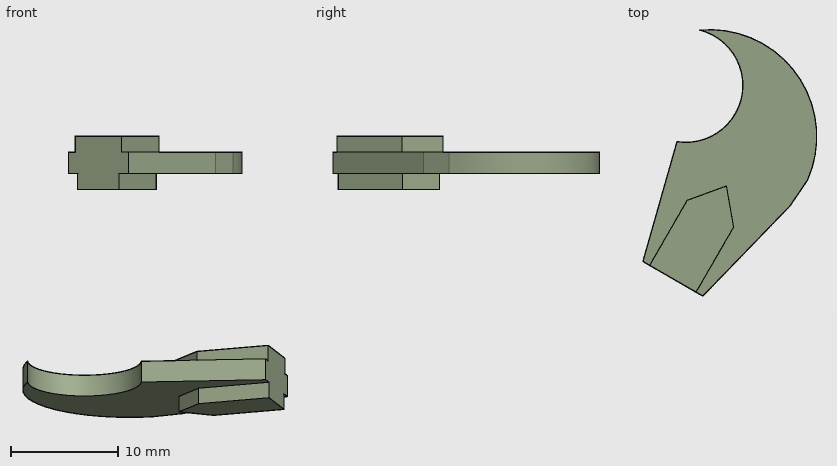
import cadquery as cq
import math

blade_thickness = 2.0
heel_length = 6.45
heel_angle = 30.0
blade_height = 24.83
blade_width = 16.2

back_radius = 9.93
back_center = (blade_width - back_radius, blade_height - back_radius)
tip_x = 5.26
spine_start = (13.73, 8.42)
spine_end = (15.35, 10.8)

bite_right = (9.3, 19.62)
throat = (3.18, 14.4)

rib_height = 1.5
rib_width = 5.0
rib_shoulder = 7.0
rib_length = 9.98
lower_rib_inset = 0.25

slope = math.radians(heel_angle)
heel_left = (0, heel_length * math.sin(slope))
heel_right = (heel_length * math.cos(slope), 0)
heel_middle = (heel_right[0] / 2, heel_left[1] / 2)


def make_blade():
    """Hook-shaped plate centred on Z = 0."""
    arc_angle = math.radians(45)
    back_middle = (
        back_center[0] + back_radius * math.cos(arc_angle),
        back_center[1] + back_radius * math.sin(arc_angle),
    )
    tip_rise = math.sqrt(back_radius**2 - (tip_x - back_center[0]) ** 2)
    tip = (tip_x, back_center[1] + tip_rise)
    return (
        cq.Workplane("XY", origin=(0, 0, -blade_thickness / 2))
        .moveTo(*heel_left)
        .lineTo(*heel_right)
        .lineTo(*spine_start)
        .lineTo(*spine_end)
        .threePointArc(back_middle, tip)
        .threePointArc(bite_right, throat)
        .close()
        .extrude(blade_thickness)
    )


def make_rib(inset, height):
    """Pointed rib from mid-thickness, inset along its sides and point."""
    half_width = rib_width / 2
    point_length = rib_length - rib_shoulder
    point_half_angle = math.atan2(half_width, point_length)
    length = rib_length - inset / math.sin(point_half_angle)
    inset_half_width = half_width - inset
    shoulder = length - inset_half_width / math.tan(point_half_angle)
    outline = [
        (0, -inset_half_width),
        (shoulder, -inset_half_width),
        (length, 0),
        (shoulder, inset_half_width),
        (0, inset_half_width),
    ]
    return (
        cq.Workplane("XY")
        .polyline(outline)
        .close()
        .extrude(height)
        .rotate((0, 0, 0), (0, 0, 1), 90 - heel_angle)
        .translate((*heel_middle, 0))
    )


rib_top = blade_thickness / 2 + rib_height
upper_rib = make_rib(0, rib_top)
lower_rib = make_rib(lower_rib_inset, -rib_top)
result = make_blade().union(upper_rib).union(lower_rib)